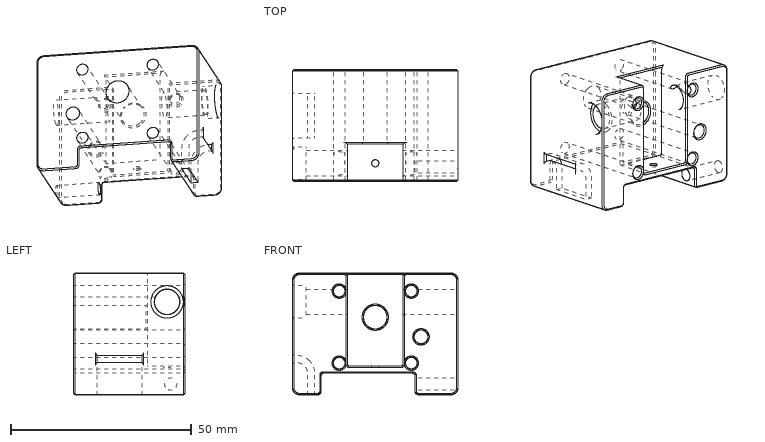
import cadquery as cq
import math

WIDTH = 46.0
DEPTH = 31.0
HEIGHT = 33.8
BLOCK_CORNER_RADIUS = 2.0
EDGE_CHAMFER = 0.4

NOTCH_WIDTH = 26.0
NOTCH_CENTRE_X = -2.0
NOTCH_HEIGHT = 6.0
NOTCH_CORNER_RADIUS = 0.6
FOOT_CORNER_RADIUS = 1.0

POCKET_WIDTH = 15.4
POCKET_DEPTH = 10.4
POCKET_FLOOR_Z = 8.0
POCKET_FLOOR_FILLET = 0.5
POCKET_SIDE_RIM_RADIUS = 1.0
POCKET_BACK_RIM_CHAMFER = 0.4

BOLT_SPACING = 20.0
BOLT_DIAMETER = 3.2
BOLT_CENTRE_Z = 18.8
MAIN_BORE_DIAMETER = 6.5
MAIN_BORE_Z = 21.55
SIDE_HOLE_DIAMETER = 3.8
SIDE_HOLE_X = 12.7
SIDE_HOLE_Z = 16.1

CROSS_BORE_DIAMETER = 7.0
CROSS_BORE_Y = 5.0
CROSS_BORE_Z = 25.8
COUNTERBORE_DIAMETER = 9.0
COUNTERBORE_DEPTH = 3.8
LIP_RADIUS = 0.4
FLOOR_HOLE_DIAMETER = 2.0
FLOOR_HOLE_DEPTH = 0.4

FOOT_HOLE_DIAMETER = 3.4
FOOT_HOLE_Y = 4.0
FOOT_HOLE_Z = 3.0

SLOT_Y_CENTRE = 18.2
SLOT_WIDTH = 12.4
SLOT_THICKNESS = 2.0
SLOT_CENTRE_Z = 9.95
SLOT_LEVEL_LENGTH = 1.2
SLOT_MEAN_RADIUS = 4.0
SLOT_LIP_RADIUS = 0.6
SLOT_END_CHAMFER = 0.4

LEFT_X = -WIDTH / 2
RIGHT_X = WIDTH / 2
NOTCH_LEFT_X = NOTCH_CENTRE_X - NOTCH_WIDTH / 2
NOTCH_RIGHT_X = NOTCH_CENTRE_X + NOTCH_WIDTH / 2
DIAGONAL = math.sqrt(0.5)


def arc_to(outline, centre, radius, middle, end):
    """Add an arc, given the unit directions from its centre to its middle and end."""
    points = [(centre[0] + radius * u, centre[1] + radius * v) for u, v in (middle, end)]
    return outline.threePointArc(*points)


def plain_hole(start, direction, diameter, length):
    """Cylinder with its end centred on start."""
    cylinder = cq.Solid.makeCylinder(diameter / 2, length, cq.Vector(*start), cq.Vector(*direction))
    return cq.Workplane(cylinder)


def chamfered_hole_y(x, y, z, diameter):
    """Hole from y out through the back, with a chamfered mouth at y."""
    start = cq.Vector(x, y, z)
    radius = diameter / 2
    mouth = cq.Solid.makeCone(radius + EDGE_CHAMFER, radius, EDGE_CHAMFER, start, cq.Vector(0, 1, 0))
    return plain_hole((x, y, z), (0, 1, 0), diameter, DEPTH - y).union(cq.Workplane(mouth))


def lipped_bore(x, diameter, length):
    """Length of the cross bore from x toward +X, with a rounded lip at x."""
    radius = diameter / 2
    lip_centre = (LIP_RADIUS, radius + LIP_RADIUS)
    outline = cq.Workplane("XY", origin=(x, CROSS_BORE_Y, CROSS_BORE_Z)).lineTo(0, radius + LIP_RADIUS)
    outline = arc_to(outline, lip_centre, LIP_RADIUS, (-DIAGONAL, -DIAGONAL), (0, -1))
    outline = outline.lineTo(length, radius).lineTo(length, 0).close()
    return outline.revolve(360, (0, 0, 0), (1, 0, 0))


def round_notch_edges(block, z, radius):
    """Round the two lengthwise notch edges at height z."""
    margin = 0.1
    around_notch = cq.selectors.BoxSelector(
        (NOTCH_LEFT_X - margin, -margin, z - margin),
        (NOTCH_RIGHT_X + margin, DEPTH + margin, z + margin),
    )
    return block.edges("|Y").edges(around_notch).fillet(radius)


def pocket_cutter():
    """Pocket with rounded floor edges and a rim that is rounded at the sides and chamfered at the back."""
    half_width = POCKET_WIDTH / 2
    rim = POCKET_SIDE_RIM_RADIUS
    mouth = half_width + rim
    outline = cq.Workplane("XZ").moveTo(mouth, HEIGHT)
    outline = arc_to(outline, (mouth, HEIGHT - rim), rim, (-DIAGONAL, DIAGONAL), (-1, 0))
    outline = outline.lineTo(half_width, POCKET_FLOOR_Z).lineTo(-half_width, POCKET_FLOOR_Z)
    outline = outline.lineTo(-half_width, HEIGHT - rim)
    outline = arc_to(outline, (-mouth, HEIGHT - rim), rim, (DIAGONAL, DIAGONAL), (0, 1))
    across = outline.close().extrude(-DEPTH)
    across = across.edges("|Y and <Z").fillet(POCKET_FLOOR_FILLET)

    lengthwise = (
        cq.Workplane("YZ")
        .lineTo(POCKET_DEPTH, 0)
        .lineTo(POCKET_DEPTH, HEIGHT - POCKET_BACK_RIM_CHAMFER)
        .lineTo(POCKET_DEPTH + POCKET_BACK_RIM_CHAMFER, HEIGHT)
        .lineTo(0, HEIGHT)
        .close()
        .extrude(WIDTH / 2, both=True)
    )
    return across.intersect(lengthwise)


def make_block():
    """Block with its notch and pocket, chamfered along the front and back outlines."""
    block = cq.Workplane("XY").box(WIDTH, DEPTH, HEIGHT, centered=(True, False, False))
    block = block.edges("|Y").fillet(BLOCK_CORNER_RADIUS)
    notch = cq.Workplane("XY").box(NOTCH_WIDTH, DEPTH, NOTCH_HEIGHT, centered=(True, False, False))
    block = block.cut(notch.translate((NOTCH_CENTRE_X, 0, 0)))
    block = round_notch_edges(block, NOTCH_HEIGHT, NOTCH_CORNER_RADIUS)
    block = round_notch_edges(block, 0, FOOT_CORNER_RADIUS)
    block = block.cut(pocket_cutter())
    return block.faces("<Y or >Y").chamfer(EDGE_CHAMFER)


def front_to_back_holes():
    """Main bore, side hole and the four bolt holes."""
    holes = chamfered_hole_y(0, POCKET_DEPTH, MAIN_BORE_Z, MAIN_BORE_DIAMETER)
    holes = holes.union(chamfered_hole_y(SIDE_HOLE_X, 0, SIDE_HOLE_Z, SIDE_HOLE_DIAMETER))
    offset = BOLT_SPACING / 2
    for x in (-offset, offset):
        for z in (BOLT_CENTRE_Z - offset, BOLT_CENTRE_Z + offset):
            holes = holes.union(chamfered_hole_y(x, 0, z, BOLT_DIAMETER))
    return holes


def cross_bore():
    """Bore along the whole width, with a counterbore on the left and a lip in the pocket's right wall."""
    pocket_wall_x = POCKET_WIDTH / 2
    bore = plain_hole((LEFT_X, CROSS_BORE_Y, CROSS_BORE_Z), (1, 0, 0), CROSS_BORE_DIAMETER, WIDTH)
    counterbore = lipped_bore(LEFT_X, COUNTERBORE_DIAMETER, COUNTERBORE_DEPTH)
    right_end = lipped_bore(pocket_wall_x, CROSS_BORE_DIAMETER, RIGHT_X - pocket_wall_x)
    return bore.union(counterbore).union(right_end)


def foot_hole():
    """Hole through the right foot."""
    start = (NOTCH_RIGHT_X, FOOT_HOLE_Y, FOOT_HOLE_Z)
    return plain_hole(start, (1, 0, 0), FOOT_HOLE_DIAMETER, RIGHT_X - NOTCH_RIGHT_X)


def floor_hole():
    """Shallow blind hole in the pocket floor."""
    return plain_hole((0, CROSS_BORE_Y, POCKET_FLOOR_Z), (0, 0, -1), FLOOR_HOLE_DIAMETER, FLOOR_HOLE_DEPTH)


def slot():
    """Slot bent down through the foot; its left mouth is rounded top and bottom, chamfered at the ends."""
    half = SLOT_THICKNESS / 2
    top = SLOT_CENTRE_Z + half
    bottom = SLOT_CENTRE_Z - half
    lip = SLOT_LIP_RADIUS
    lip_x = LEFT_X + lip
    bend = (LEFT_X + SLOT_LEVEL_LENGTH, SLOT_CENTRE_Z - SLOT_MEAN_RADIUS)
    outer = SLOT_MEAN_RADIUS + half
    inner = SLOT_MEAN_RADIUS - half
    half_mouth = SLOT_WIDTH / 2 + SLOT_END_CHAMFER

    outline = cq.Workplane("XZ", origin=(0, SLOT_Y_CENTRE, 0)).moveTo(LEFT_X, top + lip)
    outline = arc_to(outline, (lip_x, top + lip), lip, (-DIAGONAL, -DIAGONAL), (0, -1))
    outline = outline.lineTo(bend[0], top)
    outline = arc_to(outline, bend, outer, (DIAGONAL, DIAGONAL), (1, 0))
    outline = outline.lineTo(bend[0] + outer, 0).lineTo(bend[0] + inner, 0).lineTo(bend[0] + inner, bend[1])
    outline = arc_to(outline, bend, inner, (DIAGONAL, DIAGONAL), (0, 1))
    outline = outline.lineTo(lip_x, bottom)
    outline = arc_to(outline, (lip_x, bottom - lip), lip, (-DIAGONAL, DIAGONAL), (-1, 0))
    bent = outline.close().extrude(half_mouth, both=True)

    half_width = SLOT_WIDTH / 2
    plan = (
        cq.Workplane("XY", origin=(LEFT_X, SLOT_Y_CENTRE, 0))
        .moveTo(0, -half_mouth)
        .lineTo(SLOT_END_CHAMFER, -half_width)
        .lineTo(WIDTH / 2, -half_width)
        .lineTo(WIDTH / 2, half_width)
        .lineTo(SLOT_END_CHAMFER, half_width)
        .lineTo(0, half_mouth)
        .close()
        .extrude(HEIGHT)
    )
    return bent.intersect(plan)


result = make_block()
for cutter in (front_to_back_holes(), cross_bore(), foot_hole(), floor_hole(), slot()):
    result = result.cut(cutter)